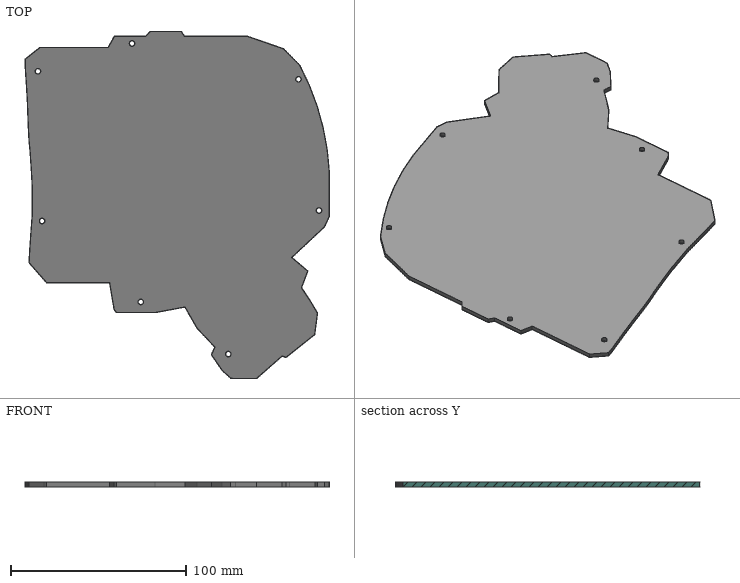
import cadquery as cq

WIDTH = 173.4
LENGTH = 198.0
THICKNESS = 3.0
HOLE_DIAMETER = 3.0

upper_shoulder = 195.1
left_shoulder = 188.8
lower_left_edge = 54.6
lower_middle_edge = 37.6

left_side = [
    (2.2, 66.1),
    (2.5, 73.2),
    (3.4, 85.0),
    (4.0, 92.5),
    (4.0, 110.2),
    (3.5, 117.8),
    (2.8, 129.5),
    (2.2, 135.5),
    (1.8, 143.0),
    (1.2, 159.0),
    (0.8, 165.7),
    (0.0, 178.1),
    (0.0, 182.0),
]
top_side = [
    (8.5, left_shoulder),
    (47.3, left_shoulder),
    (50.9, upper_shoulder),
    (68.7, upper_shoulder),
    (71.3, LENGTH),
    (89.0, LENGTH),
    (90.8, upper_shoulder),
    (126.7, upper_shoulder),
    (147.3, 188.0),
]
bulge_start = (156.5, 178.5)
bulge_middle = (168.2, 149.5)
bulge_end = (WIDTH, 117.8)
right_side = [
    (WIDTH, 92.5),
    (170.6, 86.5),
    (152.0, 69.0),
]
lower_right_lobe = [
    (161.1, 61.4),
    (157.5, 51.9),
    (162.3, 44.7),
    (166.6, 37.5),
    (165.0, 25.1),
    (150.6, 13.7),
    (148.6, 12.0),
    (146.5, 12.9),
    (131.8, 0.0),
    (120.0, 0.0),
    (117.2, 0.2),
    (112.2, 4.8),
    (106.0, 13.7),
    (108.0, 18.0),
]
bottom_side = [
    (98.0, 28.7),
    (91.0, 40.8),
    (74.0, lower_middle_edge),
    (52.0, lower_middle_edge),
    (50.7, 39.4),
    (48.0, lower_left_edge),
    (12.3, lower_left_edge),
    (10.9, 56.2),
]

hole_centers = [
    (7.3, 175.2),
    (61.0, 191.0),
    (155.8, 170.6),
    (167.5, 95.8),
    (9.7, 89.9),
    (66.0, 43.7),
    (115.8, 14.0),
]


def make_plate():
    """Extrude the outline upward from the XY plane."""
    outline = (
        cq.Workplane("XY")
        .polyline(left_side + top_side + [bulge_start])
        .threePointArc(bulge_middle, bulge_end)
    )
    for corner in right_side + lower_right_lobe + bottom_side:
        outline = outline.lineTo(*corner)
    return outline.close().extrude(THICKNESS)


def drill_holes(plate):
    """Drill the fastening holes through the full thickness."""
    return plate.faces(">Z").workplane(origin=(0, 0, 0)).pushPoints(hole_centers).hole(HOLE_DIAMETER)


result = drill_holes(make_plate())